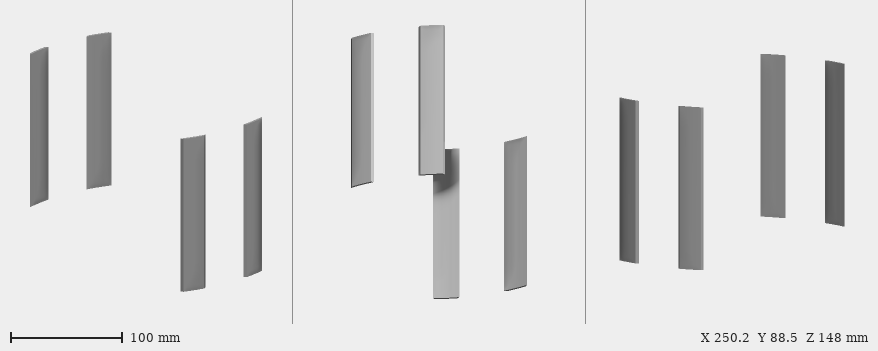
import cadquery as cq
import math

overall_x = 250.2
overall_y = 88.5
strip_length = 148.0

outer_radius = 155.0
thickness = 2.0
inner_radius = outer_radius - thickness
outer_edge_y = 23.3
edge_bevel = 2.13

centre_x = overall_x / 2 - math.sqrt(outer_radius**2 - outer_edge_y**2)
bevel_angle = edge_bevel / inner_radius
inner_end_angle = math.asin(overall_y / 2 / inner_radius)
outer_end_angle = inner_end_angle - bevel_angle
outer_start_angle = math.asin(outer_edge_y / outer_radius)
inner_start_angle = outer_start_angle - bevel_angle
middle_angle = (outer_start_angle + outer_end_angle) / 2


def arc_point(radius, angle, side_x, side_y):
    """Point on a strip's arc, mirrored into the quadrant given by the two signs."""
    x = centre_x + radius * math.cos(angle)
    y = radius * math.sin(angle)
    return side_x * x, side_y * y


def make_strip(side_x, side_y):
    """One curved strip standing along Z, centred on the XY plane."""
    def point(radius, angle):
        return arc_point(radius, angle, side_x, side_y)

    return (
        cq.Workplane("XY")
        .workplane(offset=-strip_length / 2)
        .moveTo(*point(outer_radius, outer_start_angle))
        .threePointArc(point(outer_radius, middle_angle), point(outer_radius, outer_end_angle))
        .lineTo(*point(inner_radius, inner_end_angle))
        .threePointArc(point(inner_radius, middle_angle), point(inner_radius, inner_start_angle))
        .close()
        .extrude(strip_length)
    )


strips = []
for side_x in (-1, 1):
    for side_y in (-1, 1):
        strips.append(make_strip(side_x, side_y).val())

result = cq.Compound.makeCompound(strips)